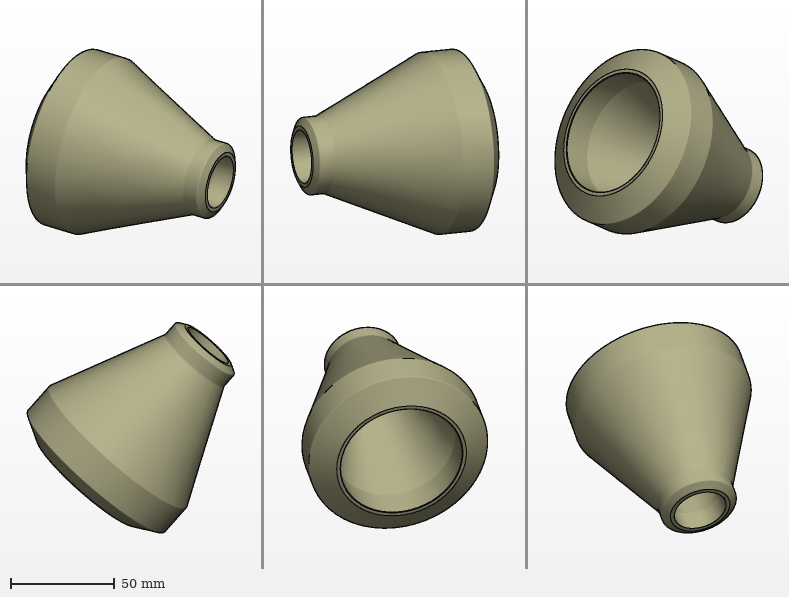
import cadquery as cq
import math

length = 90.0
wide_outer_radius = 88.9 / 2
wide_bore_radius = 60.5 / 2
narrow_outer_radius = 38.0 / 2
narrow_bore_radius = 26.0 / 2

cone_start = 23.0
cone_end = 80.1
bore_cone_start = 15.0

edge_round = 1.0
wide_bevel_round = 0.7
neck_round = 1.6
mouth_chamfer = 0.3

land_width = 2.0
bevel_slope = math.tan(math.radians(30))
wide_land_radius = wide_bore_radius + land_width
narrow_land_radius = narrow_bore_radius + land_width
wide_bevel_length = (wide_outer_radius - wide_land_radius) * bevel_slope
narrow_bevel_length = (narrow_outer_radius - narrow_land_radius) * bevel_slope

half_section = [
    (mouth_chamfer, wide_bore_radius),
    (0, wide_bore_radius + mouth_chamfer),
    (0, wide_land_radius),
    (wide_bevel_length, wide_outer_radius),
    (cone_start, wide_outer_radius),
    (cone_end, narrow_outer_radius),
    (length - narrow_bevel_length, narrow_outer_radius),
    (length, narrow_land_radius),
    (length, narrow_bore_radius),
    (cone_end, narrow_bore_radius),
    (bore_cone_start, wide_bore_radius),
]

reducer = (
    cq.Workplane("XY")
    .polyline(half_section)
    .close()
    .revolve(360, (0, 0, 0), (1, 0, 0))
)


def round_rim(body, x, rim_radius, round_radius):
    """Round the circular edge of the given radius that lies in the plane at x."""
    tolerance = 0.0001

    def is_rim(edge):
        if edge.geomType() != "CIRCLE":
            return False
        same_place = abs(edge.Center().x - x) < tolerance
        return same_place and abs(edge.radius() - rim_radius) < tolerance

    return body.edges().filter(is_rim).fillet(round_radius)


outer_rims = [
    (wide_bevel_length, wide_outer_radius, wide_bevel_round),
    (cone_start, wide_outer_radius, edge_round),
    (cone_end, narrow_outer_radius, neck_round),
    (length - narrow_bevel_length, narrow_outer_radius, edge_round),
]
for x, rim_radius, round_radius in outer_rims:
    reducer = round_rim(reducer, x, rim_radius, round_radius)

result = reducer